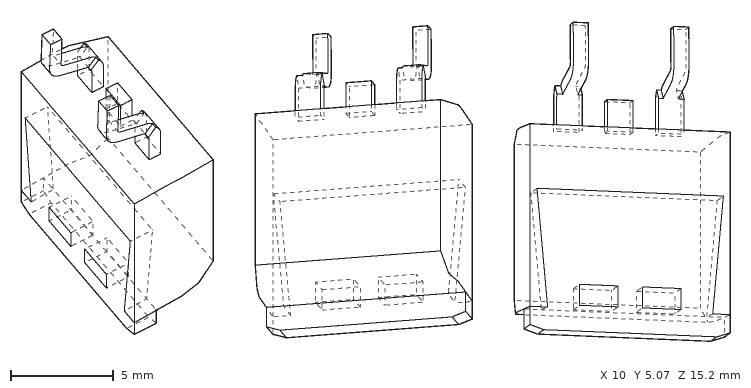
import cadquery as cq
import math


width = 10.03
depth = 4.83
back_width = 9.33
housing_top = 10.33
top_front_z = 10.17
top_back_z = 10.0
bottom_front_z = 1.13
bottom_slope = 0.07
chamfer_y = 3.87
chamfer_back_z = 2.27
chamfer_rounding = 0.3

lead_thickness = 0.67
lead_back_y = 2.75
lead_front_y = lead_back_y - lead_thickness
lead_width = 1.28
lead_pitch = 2.55
centre_lead_top = 11.9
tip_width = 0.76
tip_offset = 2.51
lead_top = 15.24
bend_start_z = 11.9
bend_inner_radius = 0.2
bend_outer_radius = bend_inner_radius + lead_thickness
slant_angle = 15.0
tip_tilt = 1.7
tip_corner_y = -0.26
shoulder_angle = 48.0

tab_thickness = 1.3
tab_top = 6.98
tab_top_width = 9.33
tab_neck_width = 8.26
tab_corner_width = 0.69
tab_corner_height = 0.23

window_width = 1.92
window_height = 1.04
window_spacing = 3.15
window_z = 1.8


def extrude_across(points, size, centre_x=0.0):
    """Extrude a (Y, Z) outline along X, centred on centre_x."""
    start = cq.Workplane("YZ", origin=(centre_x, 0, 0))
    return start.polyline(points).close().extrude(size / 2, both=True)


def housing_bottom_z(y):
    return bottom_front_z + bottom_slope * y


def make_windows():
    return (
        cq.Workplane("XZ", origin=(0, 0, window_z))
        .rarray(window_spacing, 0.15, 2, 1)
        .rect(window_width, window_height)
        .extrude(-tab_thickness)
    )


def make_tab():
    foot = extrude_across(
        [
            (0, 0),
            (tab_thickness, 0),
            (tab_thickness, housing_bottom_z(tab_thickness)),
            (0, bottom_front_z),
        ],
        width,
    )
    half_width = width / 2
    for side in (-1, 1):
        corner = (
            cq.Workplane("XZ")
            .moveTo(side * half_width, 0)
            .lineTo(side * (half_width - tab_corner_width), 0)
            .lineTo(side * half_width, tab_corner_height)
            .close()
            .extrude(-tab_thickness)
        )
        foot = foot.cut(corner)
    plate = (
        cq.Workplane("XZ")
        .moveTo(-tab_neck_width / 2, bottom_front_z)
        .lineTo(tab_neck_width / 2, bottom_front_z)
        .lineTo(tab_top_width / 2, tab_top)
        .lineTo(-tab_top_width / 2, tab_top)
        .close()
        .extrude(-tab_thickness)
    )
    return foot.union(plate).cut(make_windows())


def make_housing(tab):
    side_profile = extrude_across(
        [
            (0, bottom_front_z),
            (0, top_front_z),
            (lead_front_y, housing_top),
            (lead_back_y, housing_top),
            (depth, top_back_z),
            (depth, chamfer_back_z),
            (chamfer_y, housing_bottom_z(chamfer_y)),
        ],
        width,
    )
    chamfer_edge = cq.NearestToPointSelector((0, chamfer_y, housing_bottom_z(chamfer_y)))
    side_profile = side_profile.edges(chamfer_edge).fillet(chamfer_rounding)
    plan = (
        cq.Workplane("XY")
        .moveTo(-width / 2, 0)
        .lineTo(width / 2, 0)
        .lineTo(width / 2, lead_back_y)
        .lineTo(back_width / 2, depth)
        .lineTo(-back_width / 2, depth)
        .lineTo(-width / 2, lead_back_y)
        .close()
        .extrude(housing_top)
    )
    return side_profile.intersect(plan).cut(tab)


def back_corner(front_corner, normal_in, normal_out):
    """Mitred corner one lead thickness behind a front corner, between two runs."""
    dot = normal_in[0] * normal_out[0] + normal_in[1] * normal_out[1]
    reach = lead_thickness / (1 + dot)
    return (
        front_corner[0] + reach * (normal_in[0] + normal_out[0]),
        front_corner[1] + reach * (normal_in[1] + normal_out[1]),
    )


def bent_strip(size, centre_x):
    """Full bent lead of constant width."""
    slant = math.radians(slant_angle)
    tilt = math.radians(tip_tilt)
    first_turn = math.pi / 2 - slant

    stem_normal = (1.0, 0.0)
    slant_normal = (math.sin(slant), math.cos(slant))
    tip_normal = (math.cos(tilt), -math.sin(tilt))

    knee_front = (lead_front_y, bend_start_z + bend_inner_radius * math.tan(first_turn / 2))
    heel_z = knee_front[1] + (lead_front_y - tip_corner_y) * math.tan(slant)
    heel_front = (tip_corner_y, heel_z)
    tip_front = (tip_corner_y + (lead_top - heel_z) * math.tan(tilt), lead_top)
    knee_back = back_corner(knee_front, stem_normal, slant_normal)
    heel_back = back_corner(heel_front, slant_normal, tip_normal)
    tip_back = back_corner(tip_front, tip_normal, tip_normal)

    strip = extrude_across(
        [
            (lead_front_y, housing_top),
            knee_front,
            heel_front,
            tip_front,
            tip_back,
            heel_back,
            knee_back,
            (lead_back_y, housing_top),
        ],
        size,
        centre_x,
    )
    for corner, radius in (
        (knee_front, bend_inner_radius),
        (knee_back, bend_outer_radius),
        (heel_front, bend_outer_radius),
        (heel_back, bend_inner_radius),
    ):
        edge = cq.NearestToPointSelector((centre_x, *corner))
        strip = strip.edges(edge).fillet(radius)
    return strip


def make_bent_lead(side):
    """Wide stem up to the shoulder, continued by the narrower bent tip."""
    shoulder = math.radians(shoulder_angle)
    bend_centre_y = lead_front_y - bend_inner_radius
    reach = 2 * bend_outer_radius
    stem_x = side * lead_pitch
    stem_region = extrude_across(
        [
            (bend_centre_y, housing_top),
            (bend_centre_y, bend_start_z),
            (bend_centre_y + reach * math.cos(shoulder), bend_start_z + reach * math.sin(shoulder)),
            (bend_centre_y + reach, housing_top),
        ],
        lead_width,
        stem_x,
    )
    stem = bent_strip(lead_width, stem_x).intersect(stem_region)
    return stem.union(bent_strip(tip_width, side * tip_offset))


def make_centre_lead():
    return extrude_across(
        [
            (lead_front_y, housing_top),
            (lead_back_y, housing_top),
            (lead_back_y, centre_lead_top),
            (lead_front_y, centre_lead_top),
        ],
        lead_width,
    )


tab = make_tab()
housing = make_housing(tab)
centre_lead = make_centre_lead()
bent_leads = [make_bent_lead(side) for side in (-1, 1)]

bodies = [housing, tab, centre_lead, *bent_leads]
result = cq.Compound.makeCompound([body.solids().val() for body in bodies])